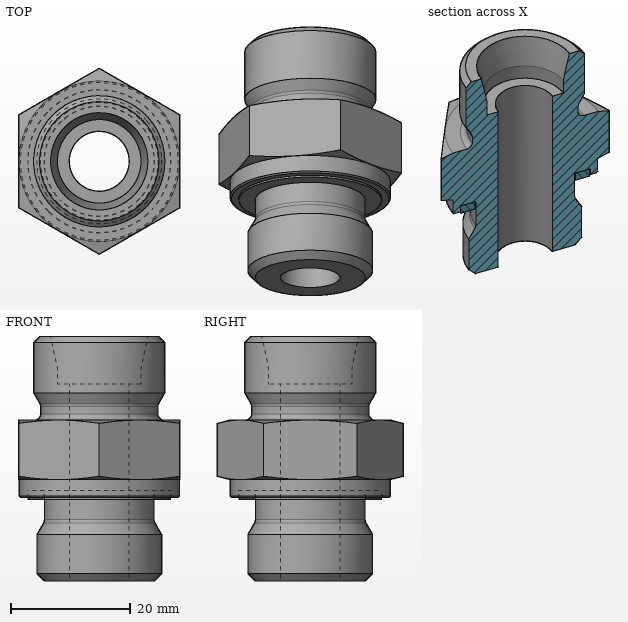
import cadquery as cq
import math


total_height = 41.0
collar_bottom = 14.0
hex_bottom = 17.0
hex_top = 27.0

hex_across_flats = 27.0
hex_across_corners = hex_across_flats / math.cos(math.radians(30))
collar_diameter = 26.9
collar_chamfer = 0.25
hex_chamfer_angle = 15.0
hex_chamfer_height = (hex_across_corners - collar_diameter) / 2 * math.tan(math.radians(hex_chamfer_angle))

flank_angle = 30.0

stud_diameter = 20.95
stud_neck_diameter = 18.4
stud_chamfer = 1.25
stud_neck_bottom = 10.0
stud_flank_fillet = 1.2

tube_diameter = 22.0
tube_neck_diameter = 19.7
tube_chamfer = 1.0
tube_neck_top = 29.56
tube_flank_fillet = 1.0
tube_root_fillet = 1.0

bore_diameter = 10.0
socket_diameter = 14.0
socket_depth = 8.0
cone_mouth_diameter = 16.3
cone_half_angle = 12.0
cone_depth = (cone_mouth_diameter - socket_diameter) / 2 / math.tan(math.radians(cone_half_angle))

seal_outer_diameter = 23.9
seal_inner_diameter = 18.5
seal_thickness = 1.5
seal_protrusion = 0.3
groove_outer_diameter = 24.0
groove_depth = seal_thickness - seal_protrusion
groove_floor = collar_bottom + groove_depth


def cylinder(diameter, bottom, top):
    return cq.Workplane("XY").workplane(offset=bottom).circle(diameter / 2).extrude(top - bottom)


def revolve_profile(profile):
    """Turn a closed (radius, Z) profile drawn on the XZ plane around the Z axis."""
    return profile.close().revolve(360, (0, 0, 0), (0, 1, 0))


def flank_height(thread_diameter, neck_diameter):
    return (thread_diameter - neck_diameter) / 2 / math.tan(math.radians(flank_angle))


def fillet_flank_foot(body, neck_diameter, height, radius):
    """Round the circle where a thread flank runs into its neck."""
    half_box = 0.01
    reach = neck_diameter / 2 + half_box
    foot = cq.selectors.BoxSelector(
        (-reach, -reach, height - half_box), (reach, reach, height + half_box), boundingbox=True
    )
    return body.edges(foot).fillet(radius)


def make_hexagon():
    """Hexagon with two flats facing +X and -X, its corners turned off by cones at both ends."""
    hexagon = (
        cq.Workplane("XY")
        .workplane(offset=hex_bottom)
        .transformed(rotate=(0, 0, 90))
        .polygon(6, hex_across_corners)
        .extrude(hex_top - hex_bottom)
    )
    face_radius = collar_diameter / 2
    corner_radius = hex_across_corners / 2
    turned_envelope = revolve_profile(
        cq.Workplane("XZ")
        .moveTo(0, hex_bottom)
        .lineTo(face_radius, hex_bottom)
        .lineTo(corner_radius, hex_bottom + hex_chamfer_height)
        .lineTo(corner_radius, hex_top - hex_chamfer_height)
        .lineTo(face_radius, hex_top)
        .lineTo(0, hex_top)
    )
    return hexagon.intersect(turned_envelope)


def make_collar():
    collar = cylinder(collar_diameter, collar_bottom, hex_bottom)
    return collar.faces("<Z").edges().chamfer(collar_chamfer)


def make_stud():
    """Threaded stud with its end chamfer, undercut flank and neck up to the collar."""
    thread_radius = stud_diameter / 2
    neck_radius = stud_neck_diameter / 2
    thread_top = stud_neck_bottom - flank_height(stud_diameter, stud_neck_diameter)
    stud = revolve_profile(
        cq.Workplane("XZ")
        .lineTo(thread_radius - stud_chamfer, 0)
        .lineTo(thread_radius, stud_chamfer)
        .lineTo(thread_radius, thread_top)
        .lineTo(neck_radius, stud_neck_bottom)
        .lineTo(neck_radius, hex_bottom)
        .lineTo(0, hex_bottom)
    )
    return fillet_flank_foot(stud, stud_neck_diameter, stud_neck_bottom, stud_flank_fillet)


def make_tube_end():
    """Threaded tube end with a rounded neck root on the hexagon and a chamfered rim."""
    thread_radius = tube_diameter / 2
    neck_radius = tube_neck_diameter / 2
    thread_bottom = tube_neck_top + flank_height(tube_diameter, tube_neck_diameter)
    root_middle = tube_root_fillet * (1 - math.sqrt(0.5))
    tube_end = revolve_profile(
        cq.Workplane("XZ")
        .moveTo(0, hex_top)
        .lineTo(neck_radius + tube_root_fillet, hex_top)
        .threePointArc(
            (neck_radius + root_middle, hex_top + root_middle),
            (neck_radius, hex_top + tube_root_fillet),
        )
        .lineTo(neck_radius, tube_neck_top)
        .lineTo(thread_radius, thread_bottom)
        .lineTo(thread_radius, total_height - tube_chamfer)
        .lineTo(thread_radius - tube_chamfer, total_height)
        .lineTo(0, total_height)
    )
    return fillet_flank_foot(tube_end, tube_neck_diameter, tube_neck_top, tube_flank_fillet)


def make_bore():
    """Through bore, tube socket and sealing cone as one cutting shape."""
    bore_radius = bore_diameter / 2
    socket_radius = socket_diameter / 2
    socket_floor = total_height - socket_depth
    return revolve_profile(
        cq.Workplane("XZ")
        .lineTo(bore_radius, 0)
        .lineTo(bore_radius, socket_floor)
        .lineTo(socket_radius, socket_floor)
        .lineTo(socket_radius, total_height - cone_depth)
        .lineTo(cone_mouth_diameter / 2, total_height)
        .lineTo(0, total_height)
    )


def make_fitting():
    collar_core = make_hexagon().union(make_collar())
    seal_groove = cylinder(groove_outer_diameter, collar_bottom, groove_floor)
    return collar_core.cut(seal_groove).union(make_stud()).union(make_tube_end()).cut(make_bore())


def make_seal_ring():
    """Flat ring seated on the groove floor and standing slightly proud of the collar face."""
    ring_bottom = groove_floor - seal_thickness
    ring = cylinder(seal_outer_diameter, ring_bottom, groove_floor)
    return ring.cut(cylinder(seal_inner_diameter, ring_bottom, groove_floor))


fitting = make_fitting()
seal_ring = make_seal_ring()

result = cq.Compound.makeCompound([fitting.val(), seal_ring.val()])